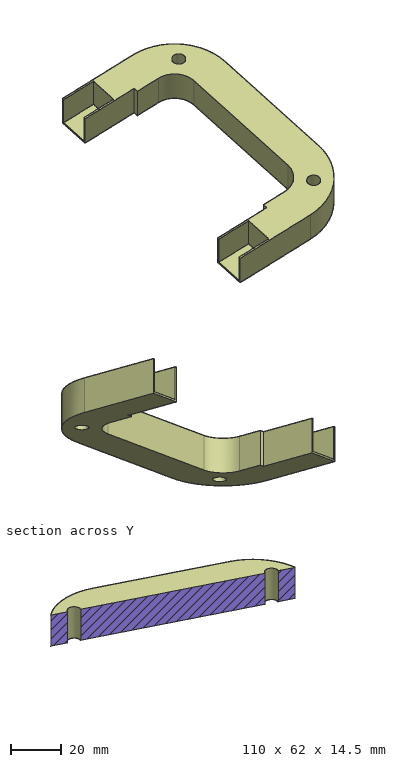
import cadquery as cq
import math

WIDTH = 110.0
LENGTH = 62.0
HEIGHT = 14.5

BAR_WIDTH = 16.0
INNER_RADIUS = 10.0
OUTER_RADIUS = INNER_RADIUS + BAR_WIDTH
CORNER_CENTRE_X = WIDTH / 2 - OUTER_RADIUS
CORNER_CENTRE_Y = LENGTH - OUTER_RADIUS

LEG_END_WIDTH = 14.0
LEG_END_LENGTH = 25.2

POCKET_LENGTH = 15.25
WALL = 0.8
FLOOR = WALL
POCKET_WIDTH = LEG_END_WIDTH - 2 * WALL

HOLE_DIAMETER = 5.5
HOLE_PATH_RADIUS = (INNER_RADIUS + OUTER_RADIUS) / 2
HOLE_ANGLE = math.radians(45)

SIDES = (-1, 1)


def block_behind_tips(x_size, y_size, z_size):
    """Block centred on X = 0 that rises from Z = 0 and reaches back from Y = 0."""
    return cq.Workplane("XY").box(x_size, y_size, z_size, centered=(True, False, False))


def make_frame():
    """U-shaped bar with concentric inner and outer bends."""
    outer = block_behind_tips(WIDTH, LENGTH, HEIGHT)
    outer = outer.edges("|Z and >Y").fillet(OUTER_RADIUS)
    inner = block_behind_tips(WIDTH - 2 * BAR_WIDTH, LENGTH - BAR_WIDTH, HEIGHT)
    inner = inner.edges("|Z and >Y").fillet(INNER_RADIUS)
    return outer.cut(inner)


def make_leg_gap():
    """Space between the legs at their narrowed ends."""
    return block_behind_tips(WIDTH - 2 * LEG_END_WIDTH, LEG_END_LENGTH, HEIGHT)


def make_pocket(side):
    """Pocket in the tip of one leg; side is -1 for the left and 1 for the right."""
    centre_x = side * (WIDTH - LEG_END_WIDTH) / 2
    pocket = block_behind_tips(POCKET_WIDTH, POCKET_LENGTH, HEIGHT - FLOOR)
    return pocket.translate((centre_x, 0, FLOOR))


def make_hole(side):
    """Vertical hole through one bend, halfway round its centre line."""
    x = side * (CORNER_CENTRE_X + HOLE_PATH_RADIUS * math.cos(HOLE_ANGLE))
    y = CORNER_CENTRE_Y + HOLE_PATH_RADIUS * math.sin(HOLE_ANGLE)
    return cq.Workplane("XY").center(x, y).circle(HOLE_DIAMETER / 2).extrude(HEIGHT)


result = make_frame().cut(make_leg_gap())
for side in SIDES:
    result = result.cut(make_pocket(side))
    result = result.cut(make_hole(side))